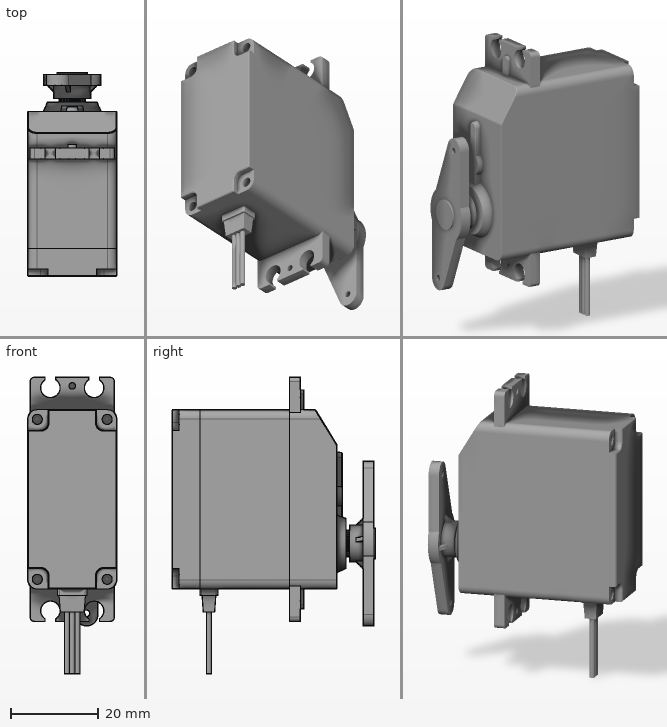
import cadquery as cq
import math


CASE_WIDTH = 20.4
CASE_LENGTH = 41.0
CASE_CORNER_RADIUS = 2.1
COVER_END = 6.4
MIDDLE_END = 26.9
CASE_END = 37.8
COVER_CHAMFER = 0.2
GEAR_CASE_CHAMFER = 0.15

SCREW_POCKET_SIZE = 4.7
SCREW_POCKET_DEPTH = 1.7
SCREW_POCKET_RADIUS = 1.75
SCREW_HOLE_DIAMETER = 2.3
SCREW_HOLE_INSET = 2.2

SLANT_DEPTH = 4.9
SLANT_LENGTH = 8.0

FLANGE_WIDTH = 19.3
FLANGE_LENGTH = 55.9
FLANGE_THICKNESS = 2.5
FLANGE_CORNER_RADIUS = 1.0
MOUNT_HOLE_DIAMETER = 4.4
MOUNT_HOLE_X = 5.0
MOUNT_HOLE_Z = 25.5
MOUNT_SLOT_WIDTH = 2.4
PILOT_HOLE_DIAMETER = 1.5
PILOT_HOLE_Z = 25.95
PILOT_HOLE_DEPTH = 1.5
RIB_WIDTH = 1.9
RIB_HEIGHT = 0.8
RIB_END_Z = 25.05

SHAFT_Z = -10.1
COLLAR_BASE_RADIUS = 6.65
COLLAR_TOP_RADIUS = 5.7
COLLAR_HEIGHT = 2.1
RIDGE_WIDTH = 2.75
RIDGE_HEIGHT = 1.2
RIDGE_END_Z = 10.9
RIDGE_DRAFT = 10.0
RIDGE_CHAMFER = 0.2
GEAR_BOSS_RADIUS = 2.65
GEAR_BOSS_Z = 0.7

HORN_TILT = 11.4
SPLINE_START = CASE_END + COLLAR_HEIGHT
SLEEVE_START = 40.7
ARM_START = 43.75
ARM_END = 46.25
HORN_END = 46.65
SPLINE_RADIUS = 3.05
SPLINE_TOOTH_HEIGHT = 0.3
SPLINE_TEETH = 25
SLEEVE_RADIUS = 4.25
CAP_RADIUS = 3.5
HUB_RADIUS = 6.55
ARM_ROOT_RADIUS = 5.87
ARM_TIP_RADIUS = 2.6
ARM_REACH = 16.6
ARM_HOLE_DIAMETER = 1.5
ARM_HOLE_REACH = 16.3
GUSSET_COUNT = 4
GUSSET_REACH = 5.8
GUSSET_THICKNESS = 1.0
GUSSET_OVERLAP = 0.5

GROMMET_WIDTH = 6.8
GROMMET_DEPTH = 4.2
GROMMET_HEIGHT = 1.45
GROMMET_CORNER_RADIUS = 0.45
GROMMET_Y = COVER_END + GROMMET_DEPTH / 2
NECK_TOP = (6.05, 3.2)
NECK_BOTTOM = (5.4, 2.65)
NECK_END_Z = -25.8
WIRE_DIAMETER = 1.2
WIRE_END_Z = -39.95
WIRE_COUNT = 3


def at_y(y):
    """Sketch plane parallel to XZ; extruding by a negative length goes towards +Y."""
    return cq.Workplane("XZ", origin=(0, y, 0))


def case_block(start, end):
    block = at_y(start).rect(CASE_WIDTH, CASE_LENGTH).extrude(start - end)
    return block.edges("|Y").fillet(CASE_CORNER_RADIUS)


def screw_pockets():
    """Four corner pockets with a round inner corner."""
    pocket_centers = at_y(0).rect(CASE_WIDTH, CASE_LENGTH, forConstruction=True).vertices()
    pockets = pocket_centers.rect(2 * SCREW_POCKET_SIZE, 2 * SCREW_POCKET_SIZE).extrude(-SCREW_POCKET_DEPTH)
    return pockets.edges("|Y").fillet(SCREW_POCKET_RADIUS)


def make_rear_cover():
    cover = case_block(0, COVER_END).cut(screw_pockets())
    cover = cover.faces("<Y").edges().chamfer(COVER_CHAMFER)
    holes = (
        at_y(0)
        .rect(CASE_WIDTH - 2 * SCREW_HOLE_INSET, CASE_LENGTH - 2 * SCREW_HOLE_INSET, forConstruction=True)
        .vertices()
        .circle(SCREW_HOLE_DIAMETER / 2)
        .extrude(-COVER_END)
    )
    return cover.cut(holes)


def make_middle_case():
    return case_block(COVER_END, MIDDLE_END)


def gear_case_body():
    """Case block with one slanted end; the slant and the output face have chamfered edges."""
    top = CASE_LENGTH / 2
    slant = (
        cq.Workplane("YZ")
        .moveTo(CASE_END - SLANT_DEPTH, top)
        .lineTo(CASE_END, top - SLANT_LENGTH)
        .lineTo(CASE_END, top)
        .close()
        .extrude(CASE_WIDTH / 2, both=True)
    )
    body = case_block(MIDDLE_END, CASE_END).cut(slant)
    slant_center = (0, CASE_END - SLANT_DEPTH / 2, top - SLANT_LENGTH / 2)
    slanted_face = cq.selectors.NearestToPointSelector(slant_center)
    rim = body.faces(">Y").add(body.faces(slanted_face)).edges()
    return rim.chamfer(GEAR_CASE_CHAMFER)


def mounting_flange():
    flange = at_y(MIDDLE_END).rect(FLANGE_WIDTH, FLANGE_LENGTH).extrude(-FLANGE_THICKNESS)
    flange = flange.edges("|Y").fillet(FLANGE_CORNER_RADIUS)
    slot_length = FLANGE_LENGTH / 2 - MOUNT_HOLE_Z
    for side in (-1, 1):
        hole_points = [(x, side * MOUNT_HOLE_Z) for x in (-MOUNT_HOLE_X, MOUNT_HOLE_X)]
        slot_points = [(x, side * (MOUNT_HOLE_Z + slot_length / 2)) for x, _ in hole_points]
        holes = at_y(MIDDLE_END).pushPoints(hole_points).circle(MOUNT_HOLE_DIAMETER / 2)
        slots = at_y(MIDDLE_END).pushPoints(slot_points).rect(MOUNT_SLOT_WIDTH, slot_length)
        pilot = at_y(MIDDLE_END).center(0, side * PILOT_HOLE_Z).circle(PILOT_HOLE_DIAMETER / 2)
        for cutter in (holes, slots):
            flange = flange.cut(cutter.extrude(-FLANGE_THICKNESS))
        flange = flange.cut(pilot.extrude(-PILOT_HOLE_DEPTH))
    return flange


def flange_ribs():
    """One round-ended bar across the output side of both flange ears."""
    return (
        at_y(MIDDLE_END + FLANGE_THICKNESS)
        .slot2D(2 * RIB_END_Z, RIB_WIDTH, 90)
        .extrude(-RIB_HEIGHT)
    )


def output_face_details():
    """Collar round the shaft, and the ridge and round boss beside it."""
    shaft_base = cq.Vector(0, CASE_END, SHAFT_Z)
    y_axis = cq.Vector(0, 1, 0)
    collar = cq.Solid.makeCone(COLLAR_BASE_RADIUS, COLLAR_TOP_RADIUS, COLLAR_HEIGHT, shaft_base, y_axis)
    ridge_length = RIDGE_END_Z - SHAFT_Z
    ridge = (
        at_y(CASE_END)
        .center(0, SHAFT_Z + ridge_length / 2)
        .slot2D(ridge_length, RIDGE_WIDTH, 90)
        .extrude(-RIDGE_HEIGHT, taper=RIDGE_DRAFT)
        .faces(">Y")
        .edges()
        .chamfer(RIDGE_CHAMFER)
    )
    boss_top_radius = GEAR_BOSS_RADIUS - RIDGE_HEIGHT * math.tan(math.radians(RIDGE_DRAFT))
    boss_base = cq.Vector(0, CASE_END, GEAR_BOSS_Z)
    boss = cq.Solid.makeCone(GEAR_BOSS_RADIUS, boss_top_radius, RIDGE_HEIGHT, boss_base, y_axis)
    return ridge.union(cq.Workplane(boss)).union(cq.Workplane(collar))


def make_gear_case():
    return gear_case_body().union(mounting_flange()).union(flange_ribs()).union(output_face_details())


def horn_plane(y):
    """Sketch plane centred on the shaft and turned with the horn."""
    return cq.Workplane("XZ", origin=(0, y, SHAFT_Z)).transformed(rotate=(0, 0, HORN_TILT))


def horn_arm(direction):
    """Tapered arm whose straight sides are tangent to the root and tip circles."""
    slope = math.asin((ARM_ROOT_RADIUS - ARM_TIP_RADIUS) / ARM_REACH)
    root_x = ARM_ROOT_RADIUS * math.cos(slope)
    root_y = direction * ARM_ROOT_RADIUS * math.sin(slope)
    tip_x = ARM_TIP_RADIUS * math.cos(slope)
    tip_y = direction * (ARM_REACH + ARM_TIP_RADIUS * math.sin(slope))
    end_y = direction * (ARM_REACH + ARM_TIP_RADIUS)
    arm = (
        horn_plane(ARM_START)
        .moveTo(-root_x, root_y)
        .lineTo(-tip_x, tip_y)
        .threePointArc((0, end_y), (tip_x, tip_y))
        .lineTo(root_x, root_y)
        .close()
        .extrude(ARM_START - ARM_END)
    )
    hole = (
        horn_plane(ARM_START)
        .center(0, direction * ARM_HOLE_REACH)
        .circle(ARM_HOLE_DIAMETER / 2)
        .extrude(ARM_START - ARM_END)
    )
    return arm.cut(hole)


def horn_gussets():
    """45-degree webs between the sleeve and the underside of the arms."""
    inner_x = SLEEVE_RADIUS - GUSSET_OVERLAP
    web = (
        cq.Workplane("XY")
        .moveTo(inner_x, 0)
        .lineTo(inner_x, inner_x - GUSSET_REACH)
        .lineTo(GUSSET_REACH, 0)
        .close()
        .extrude(GUSSET_THICKNESS / 2, both=True)
    )
    step = 360 / GUSSET_COUNT
    gussets = []
    for index in range(GUSSET_COUNT):
        turned = web.rotate((0, 0, 0), (0, 1, 0), index * step - HORN_TILT)
        gussets.append(turned.translate((0, ARM_START, SHAFT_Z)))
    return gussets


def splined_shaft():
    """Toothed shaft end between the collar and the horn sleeve."""
    length = SLEEVE_START - SPLINE_START
    core_radius = SPLINE_RADIUS - SPLINE_TOOTH_HEIGHT
    pitch = 2 * math.pi / SPLINE_TEETH
    root_edge = pitch * 3 / 8
    crest_edge = pitch / 8
    outline = []
    for tooth in range(SPLINE_TEETH):
        corners = (
            (core_radius, -root_edge),
            (SPLINE_RADIUS, -crest_edge),
            (SPLINE_RADIUS, crest_edge),
            (core_radius, root_edge),
        )
        for radius, offset in corners:
            angle = tooth * pitch + offset
            outline.append((radius * math.cos(angle), radius * math.sin(angle)))
    return horn_plane(SPLINE_START).polyline(outline).close().extrude(-length)


def make_horn():
    horn = horn_plane(ARM_START).circle(HUB_RADIUS).extrude(ARM_START - ARM_END)
    for direction in (-1, 1):
        horn = horn.union(horn_arm(direction))
    sleeve = horn_plane(SLEEVE_START).circle(SLEEVE_RADIUS).extrude(SLEEVE_START - ARM_START)
    cap = horn_plane(ARM_END).circle(CAP_RADIUS).extrude(ARM_END - HORN_END)
    horn = horn.union(sleeve).union(cap).union(splined_shaft())
    for gusset in horn_gussets():
        horn = horn.union(gusset)
    return horn


def make_grommet():
    """Rounded block under the case with a tapered neck below it."""
    base = cq.Workplane("XY", origin=(0, GROMMET_Y, -CASE_LENGTH / 2))
    block = base.rect(GROMMET_WIDTH, GROMMET_DEPTH).extrude(-GROMMET_HEIGHT)
    block = block.edges("|Z").fillet(GROMMET_CORNER_RADIUS)
    neck_start = -CASE_LENGTH / 2 - GROMMET_HEIGHT
    neck = (
        cq.Workplane("XY", origin=(0, GROMMET_Y, neck_start))
        .rect(*NECK_TOP)
        .workplane(offset=NECK_END_Z - neck_start)
        .rect(*NECK_BOTTOM)
        .loft()
    )
    return block.union(neck)


def make_wire(x):
    return (
        cq.Workplane("XY", origin=(x, GROMMET_Y, NECK_END_Z))
        .circle(WIRE_DIAMETER / 2)
        .extrude(WIRE_END_Z - NECK_END_Z)
    )


rear_cover = make_rear_cover()
middle_case = make_middle_case()
gear_case = make_gear_case()
horn = make_horn()
grommet = make_grommet()
wires = []
for index in range(WIRE_COUNT):
    wire_x = (index - (WIRE_COUNT - 1) / 2) * WIRE_DIAMETER
    wires.append(make_wire(wire_x).val())

result = cq.Compound.makeCompound(
    [rear_cover.val(), middle_case.val(), gear_case.val(), horn.val(), grommet.val(), *wires]
)